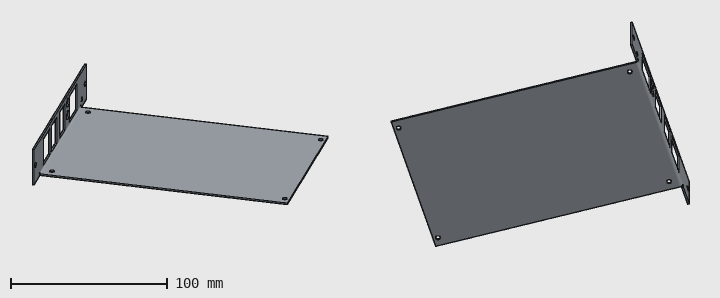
import cadquery as cq

length = 164.7
panel_width = 129.0
panel_height = 25.0
floor_width = 100.5

thickness = 1.2
bend_radius = 2.1
inner_radius = bend_radius - thickness
relief_width = 0.7

window_bottom = 3.3
window_height = 18.5
windows = [(32.1, 18.5), (5.3, 12.5), (-15.0, 12.5), (-33.3, 16.1)]

jack_diameter = 6.0
jack_y = 18.6
jack_heights = [10.4, 19.3]
panel_screw_diameter = 3.5
panel_screw_y = 61.0
pin_hole_diameter = 3.0
pin_hole_y = 53.0
pin_hole_z = 5.3

floor_hole_diameter = 3.0
floor_hole_front_x = 7.5
floor_hole_rear_x = 161.4
floor_hole_y = 44.3


def bent_sheet():
    """L-shaped sheet with concentric inner and outer bend arcs."""
    profile = (
        cq.Workplane("XZ")
        .moveTo(0, panel_height)
        .lineTo(0, bend_radius)
        .radiusArc((bend_radius, 0), -bend_radius)
        .lineTo(length, 0)
        .lineTo(length, thickness)
        .lineTo(bend_radius, thickness)
        .radiusArc((thickness, bend_radius), inner_radius)
        .lineTo(thickness, panel_height)
        .close()
    )
    return profile.extrude(floor_width / 2, both=True)


def panel_ears():
    """Flat panel ends beyond the bend, reaching down to the bottom."""
    ears = cq.Workplane("XY")
    inner_y = floor_width / 2
    ear_width = panel_width / 2 - inner_y
    for side in (-1, 1):
        ear = cq.Workplane("XY").box(thickness, ear_width, panel_height, centered=(False, True, False))
        ear = ear.translate((0, side * (inner_y + ear_width / 2), 0))
        relief = cq.Workplane("XY").box(thickness, relief_width, bend_radius, centered=(False, True, False))
        relief = relief.translate((0, side * (inner_y + relief_width / 2), 0))
        ears = ears.add(ear.cut(relief))
    return ears.combine()


def panel_hole(y, z, diameter):
    """Round cutter through the panel."""
    return cq.Workplane("YZ").center(y, z).circle(diameter / 2).extrude(thickness)


result = bent_sheet().union(panel_ears())

for window_y, window_width in windows:
    window = cq.Workplane("XY").box(thickness, window_width, window_height, centered=(False, True, False))
    result = result.cut(window.translate((0, window_y, window_bottom)))

for jack_z in jack_heights:
    result = result.cut(panel_hole(jack_y, jack_z, jack_diameter))

for side in (-1, 1):
    result = result.cut(panel_hole(side * panel_screw_y, panel_height / 2, panel_screw_diameter))

result = result.cut(panel_hole(pin_hole_y, pin_hole_z, pin_hole_diameter))

floor_hole_centers = [
    (x, side * floor_hole_y) for x in (floor_hole_front_x, floor_hole_rear_x) for side in (-1, 1)
]
floor_holes = cq.Workplane("XY").pushPoints(floor_hole_centers)
floor_holes = floor_holes.circle(floor_hole_diameter / 2).extrude(thickness)
result = result.cut(floor_holes)